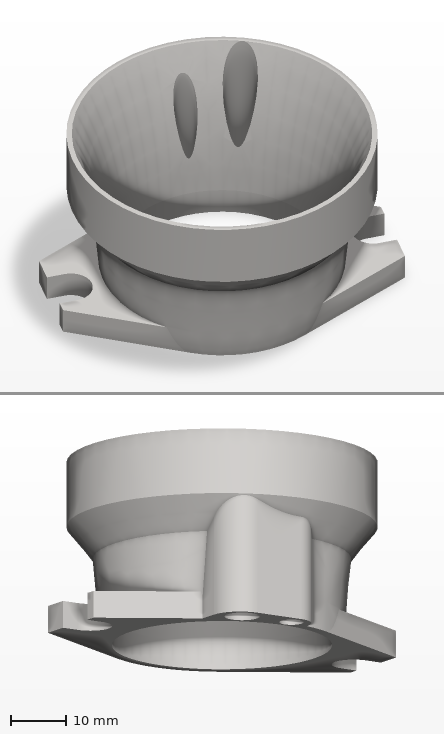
import cadquery as cq
import math

height = 34.0
rim_radius = 28.255
rim_bottom = 21.95
neck_top = 16.0
neck_top_radius = 23.5
foot_radius = 22.0

plate_thickness = 5.0
plate_half_length = 32.0
long_ear_x = 8.95
short_ear_x = 6.0
slot_width = 7.95
slot_center_y = 28.7

throat_radius = 40.0 / 2
throat_height = plate_thickness
bowl_mid_radius = 22.65
bowl_mid_height = 22.4
mouth_radius = 27.25

lug_face_x = -25.9
lug_inner_x = -12.8
lug_back_y = 15.2
lug_front_y = -4.1
lug_back_fillet = 5.6
lug_front_fillet = 4.0
pin_hole_diameter = 4.4
pin_hole_center = (-22.8, 0)
wire_hole_diameter = 6.4
wire_hole_center = (-21.8, 10.1)


def make_cup():
    return (
        cq.Workplane("XZ")
        .lineTo(foot_radius, 0)
        .lineTo(neck_top_radius, neck_top)
        .lineTo(rim_radius, rim_bottom)
        .lineTo(rim_radius, height)
        .lineTo(0, height)
        .close()
        .revolve(360, (0, 0), (0, 1))
    )


def make_hollow():
    return (
        cq.Workplane("XZ")
        .lineTo(throat_radius, 0)
        .lineTo(throat_radius, throat_height)
        .threePointArc((bowl_mid_radius, bowl_mid_height), (mouth_radius, height))
        .lineTo(0, height)
        .close()
        .revolve(360, (0, 0), (0, 1))
    )


def tangent_point(ear_x):
    """Point where the edge from the +Y ear corner at ear_x > 0 touches the foot circle."""
    corner_distance = math.hypot(ear_x, plate_half_length)
    corner_angle = math.atan2(plate_half_length, ear_x)
    angle = corner_angle - math.acos(foot_radius / corner_distance)
    return foot_radius * math.cos(angle), foot_radius * math.sin(angle)


def make_plate():
    long_x, long_y = tangent_point(long_ear_x)
    short_x, short_y = tangent_point(short_ear_x)
    half_outline = [
        (long_x, long_y),
        (long_ear_x, plate_half_length),
        (-short_ear_x, plate_half_length),
        (-short_x, short_y),
    ]
    outline = half_outline + [(-x, -y) for x, y in half_outline]
    plate = cq.Workplane("XY").polyline(outline).close().extrude(plate_thickness)
    for side in (-1, 1):
        plate = plate.cut(make_slot(side))
    return plate


def make_slot(side):
    """Round-ended slot open at the end of the plate on the given Y side."""
    slot_length = plate_half_length - slot_center_y
    round_end = (
        cq.Workplane("XY")
        .center(0, side * slot_center_y)
        .circle(slot_width / 2)
        .extrude(plate_thickness)
    )
    mouth = (
        cq.Workplane("XY")
        .center(0, side * (slot_center_y + slot_length / 2))
        .rect(slot_width, slot_length)
        .extrude(plate_thickness)
    )
    return round_end.union(mouth)


def make_lug():
    return (
        cq.Workplane("XY")
        .moveTo(lug_face_x, lug_front_y)
        .lineTo(lug_inner_x, lug_front_y)
        .lineTo(lug_inner_x, lug_back_y)
        .lineTo(lug_face_x, lug_back_y)
        .close()
        .extrude(rim_bottom)
        .edges(cq.selectors.NearestToPointSelector((lug_face_x, lug_back_y, rim_bottom / 2)))
        .fillet(lug_back_fillet)
        .edges(cq.selectors.NearestToPointSelector((lug_face_x, lug_front_y, rim_bottom / 2)))
        .fillet(lug_front_fillet)
    )


def make_hole(center, diameter):
    return cq.Workplane("XY").center(*center).circle(diameter / 2).extrude(height)


result = (
    make_cup()
    .union(make_plate())
    .union(make_lug())
    .cut(make_hollow())
    .cut(make_hole(pin_hole_center, pin_hole_diameter))
    .cut(make_hole(wire_hole_center, wire_hole_diameter))
)